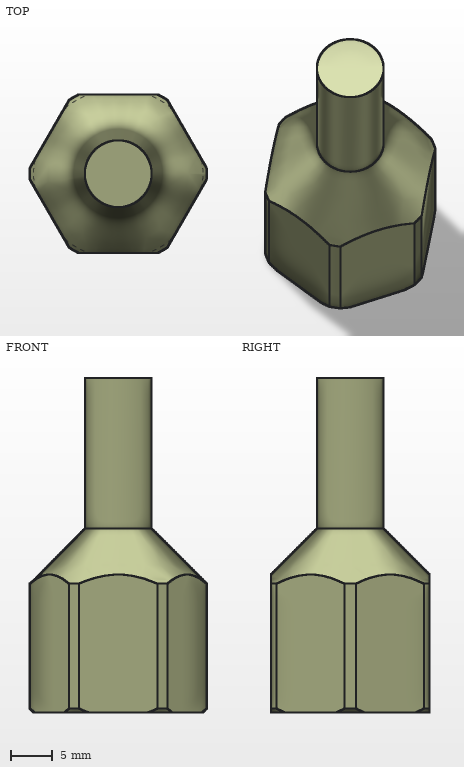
import cadquery as cq
import math

total_height = 40.0
stem_diameter = 8.0
stem_length = 18.0
across_flats = 19.0
corner_diameter = 21.2
base_chamfer = 0.5

stem_radius = stem_diameter / 2
corner_radius = corner_diameter / 2
sharp_corner_diameter = across_flats / math.cos(math.radians(30))
cone_top = total_height - stem_length
cone_base = cone_top - (corner_radius - stem_radius)


def turned_body():
    """Round body: chamfered cylinder, 45 degree cone and stem."""
    return (
        cq.Workplane("XZ")
        .moveTo(0, 0)
        .lineTo(corner_radius - base_chamfer, 0)
        .lineTo(corner_radius, base_chamfer)
        .lineTo(corner_radius, cone_base)
        .lineTo(stem_radius, cone_top)
        .lineTo(stem_radius, total_height)
        .lineTo(0, total_height)
        .close()
        .revolve(360, (0, 0, 0), (0, 1, 0))
    )


def hexagonal_envelope():
    """Hexagonal prism with corners on the X axis."""
    return cq.Workplane("XY").polygon(6, sharp_corner_diameter).extrude(total_height)


result = turned_body().intersect(hexagonal_envelope())